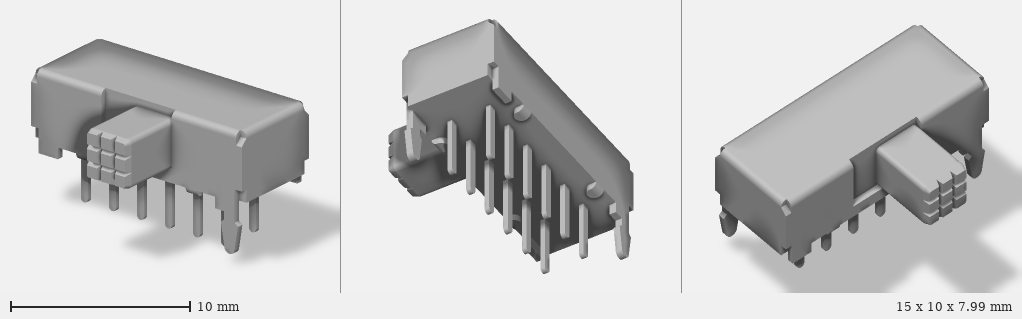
import cadquery as cq
import math


LENGTH = 15.0
DEPTH = 6.0
HEIGHT = 4.3
SHEET = 0.4
FRONT_Y = -DEPTH / 2
NOTCH_WIDTH = 0.51
NOTCH_HEIGHT = 0.81

WINDOW_WIDTH = 5.0
WINDOW_SILL = NOTCH_HEIGHT
HANDLE_SIZE = 3.0
HANDLE_REACH = 4.0
HANDLE_EDGE_RADIUS = 0.3
HANDLE_X = (WINDOW_WIDTH - HANDLE_SIZE) / 2
HANDLE_Z = WINDOW_SILL + HANDLE_SIZE / 2
GRIP_DEPTH = 0.4
GRIP_TAPER = 20.0
GRIP_ROWS = 3

FOOT_WIDTH = 1.4
FOOT_HEIGHT = 0.7
FOOT_END = LENGTH / 2 - NOTCH_WIDTH
LEG_WIDTH = 0.75
LEG_LENGTH = 3.2
BARB_WIDTH = 1.22
BARB_TOP = -1.2
BARB_BOTTOM = -1.4
LEG_X = FOOT_END - LEG_WIDTH / 2

TAB_WIDTH = 2 * SHEET
TAB_X = 3.9

PIN_WIDTH = 0.5
PIN_THICKNESS = 0.3
PIN_LENGTH = 3.69
PIN_COUNT = 6
PIN_PITCH = 2.0
PIN_ROW_SPACING = 2.5


def box(x0, x1, y0, y1, z0, z1):
    """Axis-aligned block between two corners."""
    return cq.Workplane("XY").box(x1 - x0, y1 - y0, z1 - z0, centered=False).translate((x0, y0, z0))


def upright_plate(outline, y_start, thickness):
    """Extrude a closed XZ outline from y_start toward +Y."""
    return outline.extrude(-thickness).translate((0, y_start, 0))


def both_sides(front_feature):
    """Add the copy that is turned half a revolution about Z."""
    return front_feature.union(front_feature.rotate((0, 0, 0), (0, 0, 1), 180))


def corner_relief():
    """Open corner between the top bends, with a floor sloping down toward the front."""
    top = HEIGHT + SHEET
    profile = [
        (FRONT_Y, HEIGHT - 2 * SHEET),
        (FRONT_Y + SHEET, HEIGHT - SHEET),
        (FRONT_Y + SHEET, top),
        (FRONT_Y, top),
    ]
    return cq.Workplane("YZ").polyline(profile).close().extrude(SHEET).translate((-LENGTH / 2, 0, 0))


def housing():
    body = box(-LENGTH / 2, LENGTH / 2, FRONT_Y, -FRONT_Y, 0, HEIGHT)
    long_bends = body.edges(">Z and |X").fillet(SHEET)
    end_bends = body.edges(">Z and |Y").fillet(SHEET)
    body = long_bends.intersect(end_bends)

    lower_notch = box(
        -LENGTH / 2, -LENGTH / 2 + NOTCH_WIDTH, FRONT_Y, FRONT_Y + SHEET, 0, NOTCH_HEIGHT
    )
    front_left = corner_relief().union(lower_notch)
    front_corners = front_left.union(front_left.mirror("YZ"))
    window = box(
        -WINDOW_WIDTH / 2, WINDOW_WIDTH / 2, FRONT_Y, FRONT_Y + SHEET, WINDOW_SILL, HEIGHT
    )
    return body.cut(both_sides(front_corners)).cut(window)


def handle():
    shaft_length = HANDLE_REACH - GRIP_DEPTH
    root_y = FRONT_Y + SHEET
    grip_y = FRONT_Y - shaft_length
    shaft = (
        cq.Workplane("XZ")
        .rect(HANDLE_SIZE, HANDLE_SIZE)
        .extrude(root_y - grip_y)
        .edges("|Y")
        .fillet(HANDLE_EDGE_RADIUS)
        .translate((0, root_y, 0))
    )
    shaft_end = shaft.faces("<Y").wires().toPending().workplane()
    grip = shaft_end.extrude(GRIP_DEPTH, taper=GRIP_TAPER, combine=False)

    half_groove = GRIP_DEPTH * math.tan(math.radians(GRIP_TAPER))
    tip_y = grip_y - GRIP_DEPTH
    stud_pitch = HANDLE_SIZE / GRIP_ROWS
    groove = (
        cq.Workplane("XY")
        .polyline([(-half_groove, tip_y), (half_groove, tip_y), (0, grip_y)])
        .close()
        .extrude(HANDLE_SIZE / 2, both=True)
    )
    for row in range(1, GRIP_ROWS):
        offset = row * stud_pitch - HANDLE_SIZE / 2
        grip = grip.cut(groove.translate((offset, 0, 0)))
        grip = grip.cut(groove.rotate((0, 0, 0), (0, 1, 0), 90).translate((0, 0, offset)))
    return shaft.union(grip).translate((HANDLE_X, 0, HANDLE_Z))


def foot():
    """Short stepped foot at the left end of the front wall."""
    return box(-FOOT_END, -FOOT_END + FOOT_WIDTH, FRONT_Y, FRONT_Y + SHEET, -FOOT_HEIGHT, 0)


def snap_leg():
    """Barbed leg with a round end, at the right end of the front wall."""
    half_leg = LEG_WIDTH / 2
    half_barb = BARB_WIDTH / 2
    round_start = half_leg - LEG_LENGTH
    outline = (
        cq.Workplane("XZ")
        .moveTo(-half_leg, 0)
        .lineTo(-half_leg, BARB_TOP)
        .lineTo(-half_barb, BARB_BOTTOM)
        .lineTo(-half_leg, round_start)
        .threePointArc((0, -LEG_LENGTH), (half_leg, round_start))
        .lineTo(half_barb, BARB_BOTTOM)
        .lineTo(half_leg, BARB_TOP)
        .lineTo(half_leg, 0)
        .close()
    )
    return upright_plate(outline, FRONT_Y, SHEET).translate((LEG_X, 0, 0))


def crimp_tab():
    """Tab bent inward under the front wall, with a semicircular end."""
    bend_y = FRONT_Y + SHEET
    bend = box(-TAB_WIDTH / 2, TAB_WIDTH / 2, FRONT_Y, bend_y, -SHEET, 0)
    bend_cylinder = cq.Workplane("YZ").center(bend_y, 0).circle(SHEET).extrude(TAB_WIDTH, both=True)
    bend = bend.intersect(bend_cylinder)
    round_end = cq.Workplane("XY").center(0, bend_y).circle(TAB_WIDTH / 2).extrude(-SHEET)
    round_end = round_end.intersect(box(-TAB_WIDTH, TAB_WIDTH, bend_y, bend_y + TAB_WIDTH, -SHEET, 0))
    return bend.union(round_end)


def pin():
    """Flat terminal pin with a round tip."""
    half_width = PIN_WIDTH / 2
    round_start = half_width - PIN_LENGTH
    outline = (
        cq.Workplane("XZ")
        .moveTo(-half_width, 0)
        .lineTo(-half_width, round_start)
        .threePointArc((0, -PIN_LENGTH), (half_width, round_start))
        .lineTo(half_width, 0)
        .close()
    )
    return upright_plate(outline, -PIN_THICKNESS / 2, PIN_THICKNESS)


result = housing().union(handle())

wall_supports = foot().union(foot().mirror("YZ")).union(snap_leg())
result = result.union(both_sides(wall_supports))

for tab_x in (-TAB_X, TAB_X):
    result = result.union(both_sides(crimp_tab().translate((tab_x, 0, 0))))

for index in range(PIN_COUNT):
    pin_x = (index - (PIN_COUNT - 1) / 2) * PIN_PITCH
    result = result.union(both_sides(pin().translate((pin_x, -PIN_ROW_SPACING / 2, 0))))